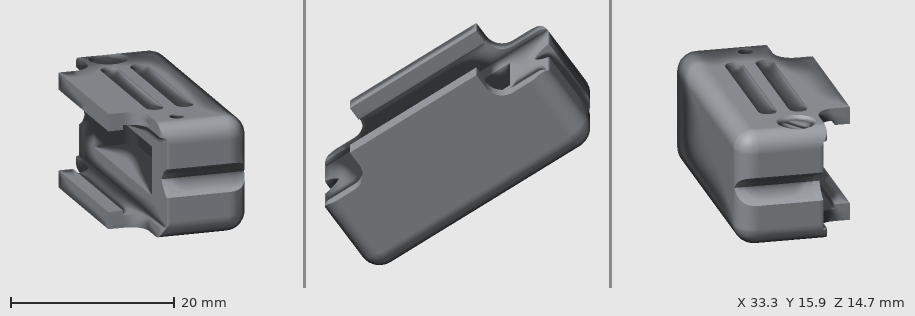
import cadquery as cq

width = 33.27
depth = 15.88
height = 14.73
top = height / 2

back_corner_radius = 2.54
rim_radius = 2.39
front_corner_radius = 1.05

tab_width = 18.76
shoulder_y = 4.48
shoulder_radius = 2.38
plate_thickness = 1.6
lip_thickness = 2.2
lip_length = 1.9
front_face_y = 5.13

pocket_width = 21.8
pocket_height = 6.32
pocket_depth = 5.3
pocket_corner_radius = 1.53

groove_depth = 2.13
groove_half_height = 1.83
groove_arc_depth = 0.82
groove_arc_half_height = 1.43

slot_length = 19.06
slot_width = 2.33
slot_depth = 0.9
slot_floor_radius = 0.86
slot_centers_y = (6.3, 10.16)

fastener_x = 12.95
fastener_y = 7.63
recess_top_radius = 2.44
recess_floor_radius = 1.98
recess_depth = 0.46
driver_slot_width = 0.82
driver_slot_depth = 0.35
driver_slot_angle = 34.2
pin_diameter = 1.83
pin_depth = 3.0


def centered_box(size_x, size_z, y_start, y_end):
    """Box centred on X and Z between two Y positions."""
    length_y = y_end - y_start
    return cq.Workplane("XY").box(size_x, length_y, size_z).translate((0, y_start + length_y / 2, 0))


def rounded_block():
    """Full block with rounded back corners, then rounded top and bottom rims."""
    block = centered_box(width, height, 0, depth)
    block = block.edges("|Z and >Y").fillet(back_corner_radius)
    return block.faces(">Z or <Z").edges("not <Y").fillet(rim_radius)


def plan_prism():
    """T-shaped plan with concave shoulders beside the tab and rounded outer front corners."""
    half_width = width / 2
    half_tab = tab_width / 2
    arc_start_x = half_tab + shoulder_radius
    arc_end_y = shoulder_y - shoulder_radius
    plan = (
        cq.Workplane("XY", origin=(0, 0, -top))
        .moveTo(-half_width, depth)
        .lineTo(-half_width, shoulder_y)
        .lineTo(-arc_start_x, shoulder_y)
        .radiusArc((-half_tab, arc_end_y), shoulder_radius)
        .lineTo(-half_tab, 0)
        .lineTo(half_tab, 0)
        .lineTo(half_tab, arc_end_y)
        .radiusArc((arc_start_x, shoulder_y), shoulder_radius)
        .lineTo(half_width, shoulder_y)
        .lineTo(half_width, depth)
        .close()
        .extrude(height)
    )
    outer_front_corners = cq.selectors.BoxSelector(
        (-width, shoulder_y - front_corner_radius / 2, -height),
        (width, shoulder_y + front_corner_radius / 2, height),
    )
    return plan.edges("|Z").edges("<X or >X").edges(outer_front_corners).fillet(front_corner_radius)


def mouth():
    """Open space between the two plates, narrower between the lips at the tab ends."""
    between_lips = centered_box(width, height - 2 * lip_thickness, 0, lip_length)
    between_plates = centered_box(width, height - 2 * plate_thickness, lip_length, front_face_y)
    return between_lips.union(between_plates)


def pocket():
    """Pocket in the front face with rounded vertical corners at its floor."""
    opening = centered_box(pocket_width, pocket_height, front_face_y, front_face_y + pocket_depth)
    return opening.edges("|Z and >Y").fillet(pocket_corner_radius)


def side_groove(side):
    """Pointed-arch groove along Y in one side face; side is -1 or +1."""
    face_x = side * width / 2
    tip_x = face_x - side * groove_depth
    arc_x = face_x - side * groove_arc_depth
    return (
        cq.Workplane("XZ")
        .moveTo(face_x, -groove_half_height)
        .threePointArc((arc_x, -groove_arc_half_height), (tip_x, 0))
        .threePointArc((arc_x, groove_arc_half_height), (face_x, groove_half_height))
        .close()
        .extrude(-depth)
    )


def top_slot(center_y):
    """Obround slot in the top face with a rounded floor edge."""
    slot = (
        cq.Workplane("XY", origin=(0, center_y, top - slot_depth))
        .slot2D(slot_length, slot_width)
        .extrude(slot_depth)
    )
    return slot.faces("<Z").edges().fillet(slot_floor_radius)


def recess_cone(cone_depth):
    """Cone of the screw recess, cut off flat at the given depth below the top face."""
    slope = (recess_top_radius - recess_floor_radius) / recess_depth
    floor_radius = recess_top_radius - slope * cone_depth
    return (
        cq.Workplane("YZ")
        .moveTo(0, -cone_depth)
        .lineTo(floor_radius, -cone_depth)
        .lineTo(recess_top_radius, 0)
        .lineTo(0, 0)
        .close()
        .revolve(360, (0, 0), (0, 1))
        .translate((-fastener_x, fastener_y, top))
    )


def driver_slot():
    """Slot sunk into the recess floor, its ends following the recess cone further down."""
    bar = (
        cq.Workplane("XY")
        .box(2 * recess_top_radius, driver_slot_width, driver_slot_depth)
        .rotate((0, 0, 0), (0, 0, 1), driver_slot_angle)
        .translate((-fastener_x, fastener_y, top - recess_depth - driver_slot_depth / 2))
    )
    return recess_cone(recess_depth + driver_slot_depth).intersect(bar)


def pin_hole():
    """Blind round hole in the top face."""
    return (
        cq.Workplane("XY", origin=(fastener_x, fastener_y, top))
        .circle(pin_diameter / 2)
        .extrude(-pin_depth)
    )


result = rounded_block().intersect(plan_prism()).cut(mouth()).cut(pocket())
for groove_side in (-1, 1):
    result = result.cut(side_groove(groove_side))
for slot_y in slot_centers_y:
    result = result.cut(top_slot(slot_y))
result = result.cut(pin_hole()).cut(recess_cone(recess_depth))
result = result.cut(driver_slot(), clean=False)